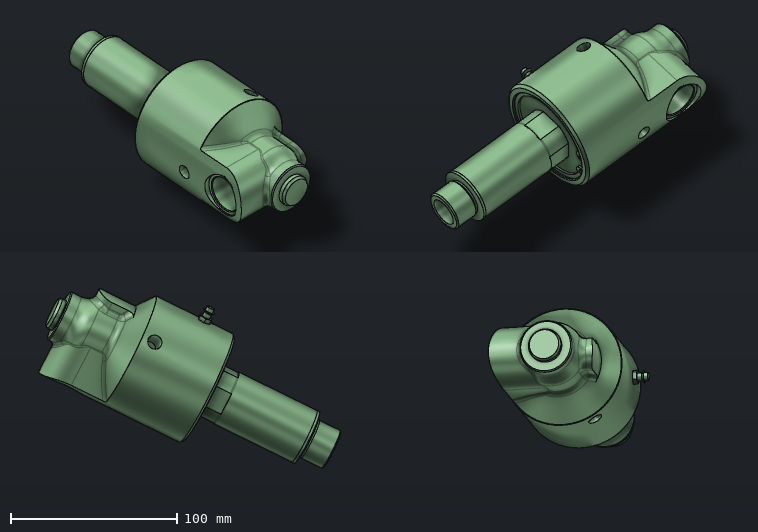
import cadquery as cq
import math


tip_dia = 25.5
tip_end = 15.7
tip_chamfer = 1.0
relief_end = 17.0
shaft_dia = 34.7
collar_dia = 35.0
collar_end = 18.7
flats_start = 71.3
shoulder_taper = 0.8
wrench_dia = 34.5
flats_across = 31.5
bore_dia = 17.5

housing_start = 83.5
housing_end = 136.8
housing_dia = 73.0
overall_width = 82.0
rear_root = 132.1
housing_chamfer = 1.7
cone_start_dia = 72.0
cone_slope = 51.3
cone_end = 148.1
neck_start = 152.9
neck_end = 165.7
neck_dia = 39.5
flange_start = 177.4
flange_end = 184.2
flange_dia = 32.3
plug_dia = 20.0
total_length = 188.7
plug_chamfer_length = 1.9
plug_chamfer_depth = 1.0
rear_chamfer = 0.8

recess_dia = 62.0
recess_depth = 3.0
recess_floor = housing_start + recess_depth
recess_chamfer = 0.5
ring_inner_dia = 56.6
ring_thickness = 1.5
lug_dia = 7.0
lug_hole_dia = 2.8
lug_y = -28.3
lug_z = 8.1

arm_x = 160.2
port_x = 160.8
arm_rough_reach = 47.2
arm_width = 38.3
boss_width = 19.6
boss_reach = 25.7
port_dia = 22.6
port_chamfer = 0.5
port_rim_dia = 27.7
port_rim_floor = 33.0
core_dia = 25.3
arm_fillet = 2.8
boss_fillet = 4.7
edge_margin = 0.2

vent_dia = 8.7
vent_x = 128.7
vent_count = 3
vent_depth = 17.0

nipple_x = 104.7
nipple_root = 1.9
nipple_flats = 7.5
nipple_hex_top = 39.0
nipple_stem_dia = 5.1
nipple_head_dia = 7.7
nipple_head_bottom = 41.9
nipple_head_top = 43.0
nipple_top = overall_width - housing_dia / 2


def rod(start, end, diameter):
    """Cylinder on the X axis."""
    return cq.Workplane("YZ", origin=(start, 0, 0)).circle(diameter / 2).extrude(end - start)


def y_rod(x, start, end, diameter):
    """Cylinder parallel to Y, centred at height zero."""
    plane = cq.Plane(origin=(x, start, 0), xDir=(1, 0, 0), normal=(0, 1, 0))
    return cq.Workplane(plane).circle(diameter / 2).extrude(end - start)


def y_cone(base, start_dia, end_dia, height):
    """Cone frustum rising along +Y from the base point."""
    cone = cq.Solid.makeCone(start_dia / 2, end_dia / 2, height, pnt=base, dir=cq.Vector(0, 1, 0))
    return cq.Workplane(cone)


def turned(points):
    """Solid turned about the X axis; points are (x, radius) along its outer outline."""
    first_x = points[0][0]
    last_x = points[-1][0]
    outline = [(first_x, 0)] + points + [(last_x, 0)]
    return cq.Workplane("XY").polyline(outline).close().revolve(360, (0, 0, 0), (1, 0, 0))


def make_shaft():
    """Stepped rotor shaft with four wrench flats in front of the housing."""
    shaft = turned(
        [
            (0, tip_dia / 2 - tip_chamfer),
            (tip_chamfer, tip_dia / 2),
            (tip_end - tip_chamfer, tip_dia / 2),
            (tip_end, tip_dia / 2 - tip_chamfer),
            (relief_end, tip_dia / 2 - tip_chamfer),
            (relief_end, collar_dia / 2),
            (collar_end, collar_dia / 2),
            (collar_end, shaft_dia / 2),
            (flats_start, shaft_dia / 2),
            (flats_start + shoulder_taper, wrench_dia / 2),
            (recess_floor, wrench_dia / 2),
        ]
    )
    square = cq.Workplane("YZ", origin=(flats_start, 0, 0)).rect(flats_across, flats_across)
    square = square.extrude(recess_floor - flats_start)
    flats_cutter = rod(flats_start, recess_floor, 2 * shaft_dia).cut(square)
    return shaft.cut(flats_cutter)


def cone_radius(x):
    """Radius of the housing's rear cone at a place along X."""
    return cone_start_dia / 2 - (x - housing_end) * math.tan(math.radians(cone_slope))


def make_barrel():
    """Round housing barrel with the shallow recess in its front face."""
    barrel = rod(housing_start, housing_end, housing_dia).faces("<X").chamfer(housing_chamfer)
    recess = turned(
        [
            (housing_start, recess_dia / 2 + recess_chamfer),
            (housing_start + recess_chamfer, recess_dia / 2),
            (recess_floor, recess_dia / 2),
        ]
    )
    return barrel.cut(recess)


def make_neck():
    """Cone, neck and flange turned about X; the cone runs on into the housing barrel."""
    neck_radius = neck_dia / 2
    flange_radius = flange_dia / 2
    profile = (
        cq.Workplane("XY")
        .moveTo(rear_root, 0)
        .lineTo(rear_root, cone_radius(rear_root))
        .lineTo(cone_end, cone_radius(cone_end))
        .tangentArcPoint((neck_start, neck_radius), relative=False)
        .lineTo(neck_end, neck_radius)
        .spline([(flange_start, flange_radius)], tangents=[(1, 0), (1, 0)], includeCurrent=True)
        .lineTo(flange_end - rear_chamfer, flange_radius)
        .lineTo(flange_end, flange_radius - rear_chamfer)
        .lineTo(flange_end, 0)
        .close()
    )
    return profile.revolve(360, (0, 0, 0), (1, 0, 0))


def half_chord(diameter, width):
    """Distance from the axis to where a circle is crossed by sides the given width apart."""
    return math.sqrt(diameter**2 - width**2) / 2


def tongue(width, tip_y):
    """Round-ended bar from the axis out along Y to tip_y."""
    bar = cq.Workplane("XY").box(arm_x - rear_root, abs(tip_y), width)
    bar = bar.translate(((rear_root + arm_x) / 2, tip_y / 2, 0))
    return bar.union(y_rod(arm_x, min(0, tip_y), max(0, tip_y), width))


def root_edges(y_low, y_high):
    """Edges centred between two Y levels where a tongue meets the cone and neck, less those along Y."""
    low = (rear_root + edge_margin, y_low, -arm_width)
    high = (total_length, y_high, arm_width)
    return cq.selectors.BoxSelector(low, high) - cq.selectors.ParallelDirSelector(cq.Vector(0, 1, 0))


def make_rear():
    """Neck with the port arm and the blank boss, blended first and then trimmed to the housing diameter."""
    arm = tongue(arm_width, -arm_rough_reach)
    boss = tongue(boss_width, boss_reach).intersect(rod(rear_root, total_length, 2 * boss_reach))
    rear = make_neck().union(arm).union(boss)
    arm_root_y = half_chord(neck_dia, arm_width)
    boss_root_y = half_chord(neck_dia, boss_width)
    boss_top_y = half_chord(2 * boss_reach, boss_width)
    arm_roots = root_edges(edge_margin - arm_rough_reach, edge_margin - arm_root_y)
    boss_roots = root_edges(boss_root_y - edge_margin, boss_top_y - edge_margin)
    rear = rear.edges(arm_roots).fillet(arm_fillet)
    rear = rear.edges(boss_roots).fillet(boss_fillet)
    rear = rear.intersect(rod(rear_root, total_length, housing_dia))
    plug = turned(
        [
            (flange_end, plug_dia / 2),
            (total_length - plug_chamfer_length, plug_dia / 2),
            (total_length, plug_dia / 2 - plug_chamfer_depth),
        ]
    )
    return rear.union(plug)


def make_retaining_ring():
    """Open snap ring in the front recess, with a drilled lug at each end."""
    start = recess_floor - ring_thickness
    end = recess_floor
    ring = rod(start, end, recess_dia).cut(rod(start, end, ring_inner_dia))
    gap = cq.Workplane("XY").box(ring_thickness, recess_dia / 2, 2 * lug_z)
    ring = ring.cut(gap.translate(((start + end) / 2, -recess_dia / 2, 0)))
    for z in (-lug_z, lug_z):
        lug = rod(start, end, lug_dia).translate((0, lug_y, z))
        ring = ring.union(lug.intersect(rod(start, end, recess_dia)))
        ring = ring.cut(rod(start, end, lug_hole_dia).translate((0, lug_y, z)))
    return ring


def make_nipple():
    """Grease nipple pointing along +Y, with hexagon corners facing up and down."""
    root = housing_dia / 2 - nipple_root
    corner_dia = nipple_flats / math.cos(math.pi / 6)
    plane = cq.Plane(origin=(nipple_x, root, 0), xDir=(0, 0, 1), normal=(0, 1, 0))
    hexagon = cq.Workplane(plane).polygon(6, corner_dia).extrude(nipple_hex_top - root)
    stem = y_rod(nipple_x, root, nipple_top, nipple_stem_dia)
    head_height = nipple_head_top - nipple_head_bottom
    head_base = cq.Vector(nipple_x, nipple_head_bottom, 0)
    head = y_cone(head_base, nipple_stem_dia, nipple_head_dia, head_height)
    return hexagon.union(stem).union(head)


def make_port():
    """Cutter for the port and its rim recess; the port ends on a round core lying along X."""
    bore = y_rod(port_x, -port_rim_floor, 0, port_dia)
    mouth_base = cq.Vector(port_x, -port_rim_floor, 0)
    mouth = y_cone(mouth_base, port_dia + 2 * port_chamfer, port_dia, port_chamfer)
    rim = y_rod(port_x, -housing_dia / 2, -port_rim_floor, port_rim_dia)
    return bore.union(mouth).union(rim).cut(rod(rear_root, total_length, core_dia))


def make_vents():
    """Cutter for blind radial holes spaced evenly about X, the first one facing -Y."""
    hole = y_rod(vent_x, -housing_dia / 2, vent_depth - housing_dia / 2, vent_dia)
    vents = hole
    for index in range(1, vent_count):
        vents = vents.union(hole.rotate((0, 0, 0), (1, 0, 0), index * 360 / vent_count))
    return vents


joint = make_barrel().union(make_rear()).union(make_shaft())
joint = joint.union(make_retaining_ring()).union(make_nipple())
joint = joint.cut(rod(0, housing_end, bore_dia)).cut(make_port()).cut(make_vents())
result = joint